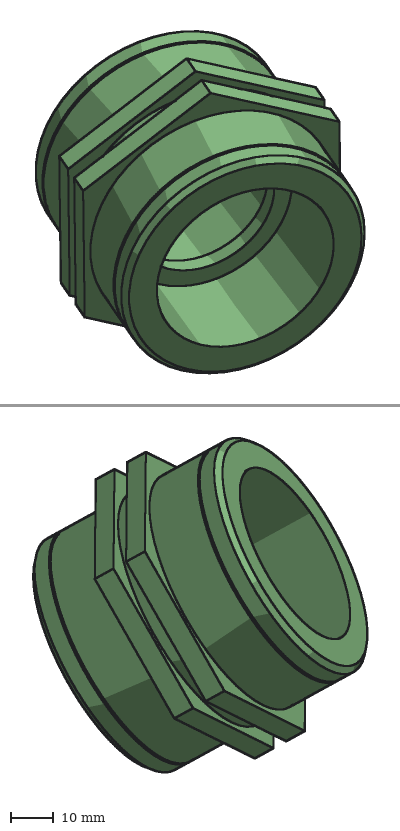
import cadquery as cq
import math

body_length = 54.0
body_diameter = 61.75
end_chamfer = 1.4

bore_diameter = 35.88
counterbore_diameter = 44.84
counterbore_depth = 25.0

hex_sides = 6
hex_across_flats = 65.0
hex_thickness = 5.35
hex_gap = 3.6
hex_tilt = 0.6

groove_offset = 5.5
groove_width = 0.5
groove_depth = 0.25

half_length = body_length / 2
body_radius = body_diameter / 2
hex_half_side_angle = 180 / hex_sides
hex_across_corners = hex_across_flats / math.cos(math.radians(hex_half_side_angle))


def cylinder_along_x(start, length, diameter):
    """Solid cylinder on the X axis, running toward +X from start."""
    return cq.Workplane("YZ", origin=(start, 0, 0)).circle(diameter / 2).extrude(length)


def make_body():
    """Plain round sleeve blank with both outer end edges chamfered."""
    blank = cylinder_along_x(-half_length, body_length, body_diameter)
    return blank.faces("<X or >X").edges().chamfer(end_chamfer)


def make_hex_collar(start):
    """Hexagonal collar with corners at top and bottom, tilted slightly about X."""
    collar = (
        cq.Workplane("YZ", origin=(start, 0, 0))
        .polygon(hex_sides, hex_across_corners)
        .extrude(hex_thickness)
    )
    return collar.rotate((0, 0, 0), (1, 0, 0), hex_half_side_angle + hex_tilt)


def make_groove(middle):
    """V-section ring, cut around the outside of the body at X = middle."""
    half_width = groove_width / 2
    section = [
        (middle - half_width, body_radius),
        (middle, body_radius - groove_depth),
        (middle + half_width, body_radius),
    ]
    return cq.Workplane("XY").polyline(section).close().revolve(360, (0, 0, 0), (1, 0, 0))


result = make_body()

groove_middle = half_length - groove_offset - groove_width / 2
for middle in (-groove_middle, groove_middle):
    result = result.cut(make_groove(middle))

for collar_start in (-hex_gap / 2 - hex_thickness, hex_gap / 2):
    result = result.union(make_hex_collar(collar_start))

result = result.cut(cylinder_along_x(-half_length, body_length, bore_diameter))
for counterbore_start in (-half_length, half_length - counterbore_depth):
    result = result.cut(cylinder_along_x(counterbore_start, counterbore_depth, counterbore_diameter))